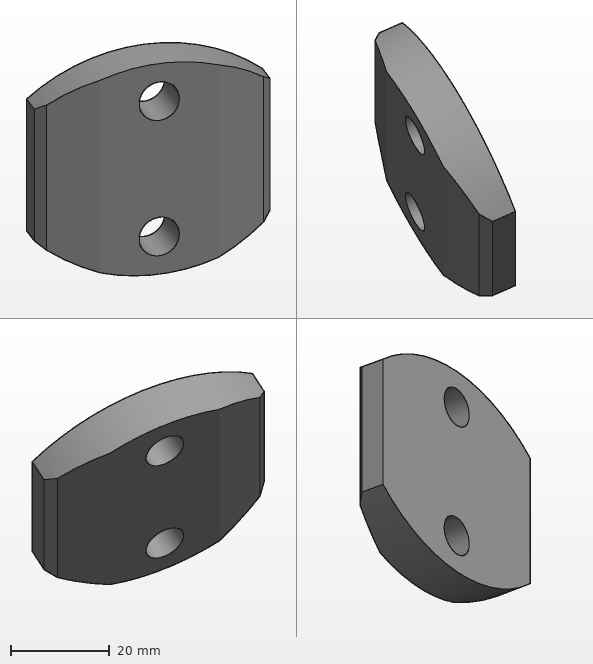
import cadquery as cq
import math

thickness = 10.0
width = 50.0
height = 46.75
crown_radius = 40.0
hole_diameter = 8.5
hole_spacing = 30.0

side_depth = 5.25
bevel_depth = 7.25
bevel_inset = 2.0
front_width = 25.0

half_width = width / 2
half_height = height / 2
crown_rise = crown_radius - math.sqrt(crown_radius**2 - half_width**2)
corner_z = half_height - crown_rise


def crowned_plate():
    """Plate with straight sides and arced top and bottom edges."""
    return (
        cq.Workplane("YZ")
        .moveTo(-half_width, -corner_z)
        .threePointArc((0, -half_height), (half_width, -corner_z))
        .lineTo(half_width, corner_z)
        .threePointArc((0, half_height), (-half_width, corner_z))
        .close()
        .extrude(thickness)
    )


def bevel_envelope():
    """Prism along Z whose section carries the double bevel of both sides."""
    bevel_y = half_width - bevel_inset
    front_y = front_width / 2
    return (
        cq.Workplane("XY")
        .polyline([
            (0, -half_width),
            (side_depth, -half_width),
            (bevel_depth, -bevel_y),
            (thickness, -front_y),
            (thickness, front_y),
            (bevel_depth, bevel_y),
            (side_depth, half_width),
            (0, half_width),
        ])
        .close()
        .extrude(half_height, both=True)
    )


def mounting_holes():
    """Two through holes, one above the other on the centre line."""
    return (
        cq.Workplane("YZ")
        .pushPoints([(0, -hole_spacing / 2), (0, hole_spacing / 2)])
        .circle(hole_diameter / 2)
        .extrude(thickness)
    )


result = crowned_plate().intersect(bevel_envelope()).cut(mounting_holes())